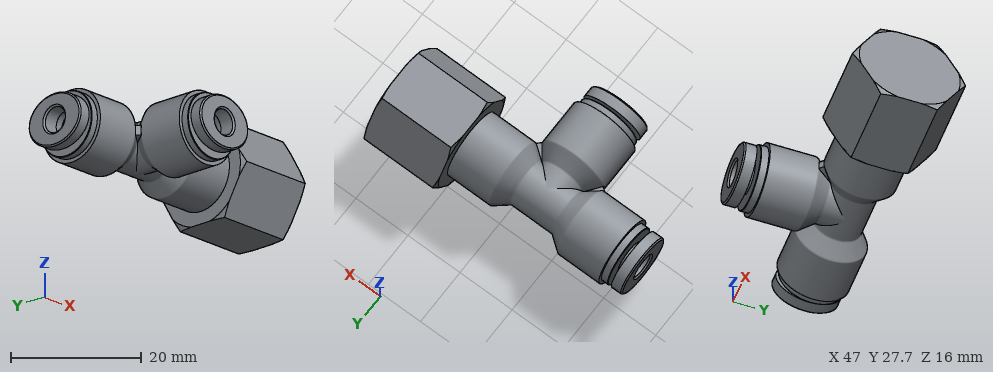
import cadquery as cq
import math


ARM_DIAMETER = 11.9
NECK_DIAMETER = 8.0
NECK_HALF_LENGTH = 3.95
CONE_END = 6.55
PORT_FACE = 14.48
NUT_FACE = 14.6
CONE_BLEND = 0.38
WEB_THICKNESS = 1.55

COLLAR_DIAMETER = 10.6
COLLAR_LENGTH = 1.25
COLLAR_FACE = PORT_FACE + COLLAR_LENGTH
COLLAR_CHAMFER = 0.1

BUTTON_END = 18.45
FLANGE_WIDTH = 10.8
FLANGE_HEIGHT = 8.6
FLANGE_THICKNESS = 2.0
FLANGE_CHAMFER = 0.25
STEM_DIAMETER = 5.5
TUBE_BORE = 4.2
BORE_CHAMFER = 0.3

NUT_FLATS = 16.0
NUT_CORNERS = NUT_FLATS / math.cos(math.pi / 6)
NUT_END = 28.55
NUT_CHAMFER_DIAMETER = 16.45
NUT_CHAMFER_ANGLE = 20.0

RUN_PORT_ANGLE = 180.0
BRANCH_PORT_ANGLE = -90.0
PORT_ANGLES = [RUN_PORT_ANGLE, BRANCH_PORT_ANGLE]


def turned(body, angle):
    """Turn a body built along +X about the Z axis."""
    return body.rotate((0, 0, 0), (0, 0, 1), angle)


def rod(diameter, start, end):
    """Cylinder on the X axis from start to end."""
    return cq.Workplane("YZ").workplane(offset=start).circle(diameter / 2).extrude(end - start)


def make_arm(length):
    """Neck, cone and cylinder along +X, starting at the origin."""
    neck_radius = NECK_DIAMETER / 2
    arm_radius = ARM_DIAMETER / 2
    arm = (
        cq.Workplane("XY")
        .moveTo(0, 0)
        .lineTo(0, neck_radius)
        .lineTo(NECK_HALF_LENGTH, neck_radius)
        .lineTo(CONE_END, arm_radius)
        .lineTo(length, arm_radius)
        .lineTo(length, 0)
        .close()
        .revolve(360, (0, 0, 0), (1, 0, 0))
    )
    cone_rims = cq.selectors.BoxSelector(
        (NECK_HALF_LENGTH - CONE_BLEND, -ARM_DIAMETER, -ARM_DIAMETER),
        (CONE_END + CONE_BLEND, ARM_DIAMETER, ARM_DIAMETER),
    )
    return arm.edges("%CIRCLE").edges(cone_rims).fillet(CONE_BLEND)


def make_corner_webs():
    """One plate through the branch that fills both corners beside it, with 45 degree outer edges."""
    arm_radius = ARM_DIAMETER / 2
    return (
        cq.Workplane("XY")
        .polyline([
            (-NECK_HALF_LENGTH, 0),
            (-CONE_END, -arm_radius),
            (-arm_radius, -CONE_END),
            (arm_radius, -CONE_END),
            (CONE_END, -arm_radius),
            (NECK_HALF_LENGTH, 0),
        ])
        .close()
        .extrude(WEB_THICKNESS / 2, both=True)
    )


def make_housing():
    housing = make_arm(NUT_FACE)
    for angle in PORT_ANGLES:
        housing = housing.union(turned(make_arm(PORT_FACE), angle))
    return housing.union(make_corner_webs())


def make_collar(angle):
    """Ring standing on a port's end face, bored for the tube."""
    collar = rod(COLLAR_DIAMETER, PORT_FACE, COLLAR_FACE)
    collar = collar.faces(">X").edges().chamfer(COLLAR_CHAMFER)
    collar = collar.cut(rod(TUBE_BORE, PORT_FACE, COLLAR_FACE))
    return turned(collar, angle)


def make_button(angle):
    """Oval flange on a round stem that meets the collar, bored for the tube."""
    flange = (
        cq.Workplane("YZ")
        .workplane(offset=BUTTON_END - FLANGE_THICKNESS)
        .ellipse(FLANGE_WIDTH / 2, FLANGE_HEIGHT / 2)
        .extrude(FLANGE_THICKNESS)
        .faces(">X").edges().chamfer(FLANGE_CHAMFER)
    )
    button = flange.union(rod(STEM_DIAMETER, COLLAR_FACE, BUTTON_END - FLANGE_THICKNESS))
    button = button.cut(rod(TUBE_BORE, COLLAR_FACE, BUTTON_END))
    button = button.faces(">X").edges("%CIRCLE").chamfer(BORE_CHAMFER)
    return turned(button, angle)


def make_nut():
    """Hex nut with corners on the Y axis, its corners turned off at both ends."""
    blank = (
        cq.Workplane("YZ")
        .workplane(offset=NUT_FACE)
        .polygon(6, NUT_CORNERS)
        .extrude(NUT_END - NUT_FACE)
    )
    cone_width = NUT_CORNERS - NUT_CHAMFER_DIAMETER
    cone_depth = cone_width * math.tan(math.radians(NUT_CHAMFER_ANGLE))
    trimmer = rod(NUT_CHAMFER_DIAMETER + 2 * cone_width, NUT_FACE, NUT_END)
    trimmer = trimmer.faces("<X or >X").edges().chamfer(cone_depth, cone_width)
    return blank.intersect(trimmer)


housing = make_housing()
collars = [make_collar(angle) for angle in PORT_ANGLES]
buttons = [make_button(angle) for angle in PORT_ANGLES]
nut = make_nut()

result = cq.Compound.makeCompound([
    housing.val(),
    *[collar.val() for collar in collars],
    *[button.val() for button in buttons],
    nut.val(),
])